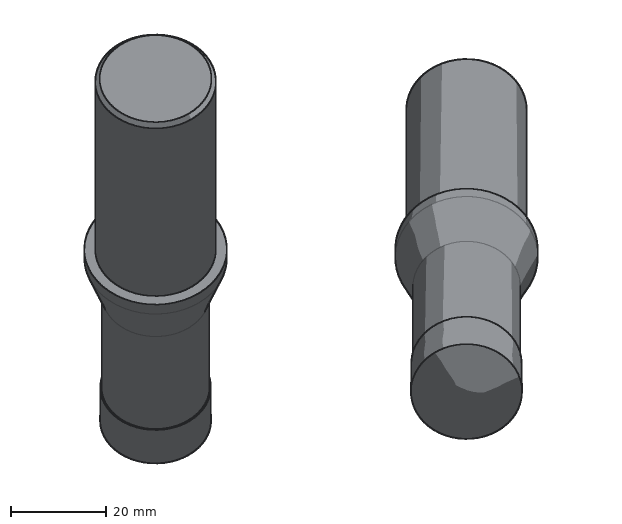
import cadquery as cq

total_length = 118.0

shank_diameter = 25.4
shank_length = 56.9
shank_chamfer = 1.0
collar_diameter = 30.0
collar_height = 3.1
taper_height = 12.0
neck_diameter = 22.7

tip_top_diameter = 23.2
tip_bottom_diameter = 23.4
tip_side_height = 11.1
point_height = 4.0

tip_top = point_height + tip_side_height
collar_top = total_length - shank_length
collar_bottom = collar_top - collar_height
taper_bottom = collar_bottom - taper_height


def revolve_profile(points):
    """Revolve a closed (radius, height) outline about the Z axis."""
    return cq.Workplane("XZ").polyline(points).close().revolve(360, (0, 0), (0, 1))


def make_shank():
    """Chamfered shank with a collar that tapers down to a plain neck."""
    shank_radius = shank_diameter / 2
    collar_radius = collar_diameter / 2
    neck_radius = neck_diameter / 2
    return revolve_profile([
        (0, tip_top),
        (neck_radius, tip_top),
        (neck_radius, taper_bottom),
        (collar_radius, collar_bottom),
        (collar_radius, collar_top),
        (shank_radius, collar_top),
        (shank_radius, total_length - shank_chamfer),
        (shank_radius - shank_chamfer, total_length),
        (0, total_length),
    ])


def make_tip():
    """Slightly flared tip that ends in a shallow conical point."""
    return revolve_profile([
        (0, 0),
        (tip_bottom_diameter / 2, point_height),
        (tip_top_diameter / 2, tip_top),
        (0, tip_top),
    ])


shank = make_shank()
tip = make_tip()

result = cq.Compound.makeCompound([shank.val(), tip.val()])